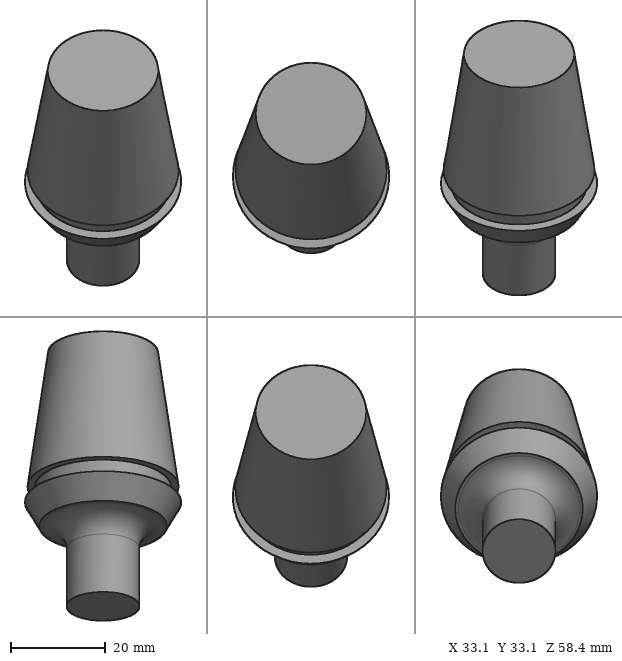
import cadquery as cq

stem_top = 13.4
collar_bottom = 18.5
collar_top = 24.0
head_bottom = 27.55
total_height = 58.4

stem_radius = 15.4 / 2
collar_bottom_radius = 13.5
collar_radius = 33.1 / 2
neck_radius = 28.8 / 2
head_bottom_radius = 16.0
head_top_radius = 11.7

fillet_radius = collar_bottom - stem_top

profile = (
    cq.Workplane("XZ")
    .lineTo(stem_radius, 0)
    .lineTo(stem_radius, stem_top)
    .radiusArc((stem_radius + fillet_radius, collar_bottom), fillet_radius)
    .lineTo(collar_bottom_radius, collar_bottom)
    .lineTo(collar_radius, collar_top)
    .lineTo(neck_radius, collar_top)
    .lineTo(neck_radius, head_bottom)
    .lineTo(head_bottom_radius, head_bottom)
    .lineTo(head_top_radius, total_height)
    .lineTo(0, total_height)
    .close()
)

result = profile.revolve(360, (0, 0, 0), (0, 1, 0))